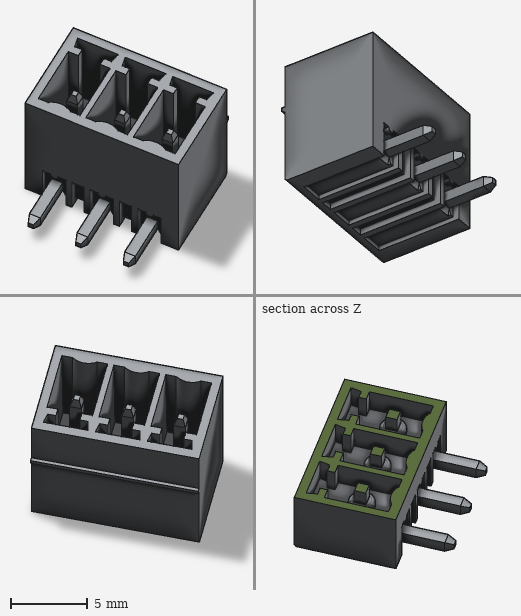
import cadquery as cq


housing_width = 11.3
housing_depth = 7.01
housing_height = 9.2
rear_chamfer = 0.17

rib_projection = 0.25
rib_top = 5.99
rib_tip_height = 0.27
rib_root_height = 0.43

pitch = 3.5
cell_centres = (-pitch, 0, pitch)
partition_centres = (-pitch / 2, pitch / 2)

cell_floor = 3.01
bay_width = 3.07
bay_front = 0.72
bay_rear = 5.08
bay_wall_draft = 0.07
neck_width = 1.6
neck_rear = 5.64
dovetail_front_width = 2.71
dovetail_rear_width = 2.98
dovetail_rear = 6.35
key_half_width = 0.84
key_height = 0.27
key_radius = (key_half_width**2 + key_height**2) / (2 * key_height)

collar_diameter = 1.8
collar_height = 0.5
collar_rounding = 0.26

pin_size = 0.8
pin_tip_size = 0.4
pin_tip_length = 0.58
pin_axis_y = 3.01
pin_axis_z = 1.18
pin_top = 8.02
pin_front = -3.39

recess_height = 2.65
pocket_width = 1.71
pocket_depth = 0.45
pocket_channel_height = 0.36
slot_width = 0.9
slot_depth = 0.51
slot_channel_height = 0.49
channel_end = dovetail_rear
bead_radius = 0.28
relief_bottom_width = 1.2
relief_depth = 0.24


def block(x_centre, width, y_start, y_end, z_start, z_end):
    """Box centred on x_centre, given by its limits in Y and Z."""
    return (
        cq.Workplane("XY", origin=(x_centre, (y_start + y_end) / 2, z_start))
        .rect(width, y_end - y_start)
        .extrude(z_end - z_start)
    )


def make_housing():
    """Side outline with the snap rib and rear chamfer, extruded across the width."""
    rib_rear = housing_depth + rib_projection
    outline = [
        (0, 0),
        (housing_depth - rear_chamfer, 0),
        (housing_depth, rear_chamfer),
        (housing_depth, rib_top - rib_root_height),
        (rib_rear, rib_top - rib_tip_height),
        (rib_rear, rib_top),
        (housing_depth, rib_top),
        (housing_depth, housing_height),
        (0, housing_height),
    ]
    return cq.Workplane("YZ").polyline(outline).close().extrude(housing_width / 2, both=True)


def make_cell(x):
    """Plug cell volume: bay with one drafted wall, neck and dovetail, less the front key."""
    half_bay = bay_width / 2
    bay_outline = [
        (-half_bay, cell_floor),
        (half_bay - bay_wall_draft, cell_floor),
        (half_bay, housing_height),
        (-half_bay, housing_height),
    ]
    bay = (
        cq.Workplane("XZ", origin=(x, bay_front, 0))
        .polyline(bay_outline)
        .close()
        .extrude(bay_front - bay_rear)
    )
    neck = block(x, neck_width, bay_rear, neck_rear, cell_floor, housing_height)
    dovetail_outline = [
        (-dovetail_front_width / 2, neck_rear),
        (dovetail_front_width / 2, neck_rear),
        (dovetail_rear_width / 2, dovetail_rear),
        (-dovetail_rear_width / 2, dovetail_rear),
    ]
    dovetail = (
        cq.Workplane("XY", origin=(x, 0, cell_floor))
        .polyline(dovetail_outline)
        .close()
        .extrude(housing_height - cell_floor)
    )
    key = (
        cq.Workplane("XY", origin=(x, bay_front + key_height - key_radius, cell_floor))
        .circle(key_radius)
        .extrude(housing_height - cell_floor)
    )
    return bay.cut(key).union(neck).union(dovetail)


def make_pocket(x):
    """Front pocket around a pin, with a bead at its top and a flared relief under the pin."""
    pocket = block(x, pocket_width, 0, pocket_depth, 0, recess_height)
    bead = cq.Workplane("XZ", origin=(x, 0, recess_height)).circle(bead_radius).extrude(-pocket_depth)
    channel = block(x, pocket_width, 0, channel_end, 0, pocket_channel_height)
    return pocket.cut(bead).union(channel).union(make_relief(x))


def make_relief(x):
    """Steep ramp in the pocket's back wall that widens from the pin to the channel."""
    relief_top = pin_axis_z - pin_size / 2
    face_outline = [
        (-pin_size / 2, relief_top),
        (pin_size / 2, relief_top),
        (relief_bottom_width / 2, pocket_channel_height),
        (-relief_bottom_width / 2, pocket_channel_height),
    ]
    flare = (
        cq.Workplane("XZ", origin=(x, pocket_depth, 0))
        .polyline(face_outline)
        .close()
        .extrude(-relief_depth)
    )
    ramp_outline = [
        (pocket_depth, relief_top),
        (pocket_depth, pocket_channel_height),
        (pocket_depth + relief_depth, pocket_channel_height),
    ]
    ramp = (
        cq.Workplane("YZ", origin=(x, 0, 0))
        .polyline(ramp_outline)
        .close()
        .extrude(relief_bottom_width / 2, both=True)
    )
    return flare.intersect(ramp)


def make_slot(x):
    """Front slot between two pockets, with a low channel running on under the housing."""
    slot = block(x, slot_width, 0, slot_depth, 0, recess_height)
    channel = block(x, slot_width, 0, channel_end, 0, slot_channel_height)
    return slot.union(channel)


def make_collar(x):
    """Round collar on the cell floor with a rounded top edge."""
    return (
        cq.Workplane("XY", origin=(x, pin_axis_y, cell_floor))
        .circle(collar_diameter / 2)
        .extrude(collar_height)
        .faces(">Z")
        .edges()
        .fillet(collar_rounding)
    )


def make_pin_leg(plane, origin, length):
    """Straight square leg along the plane's normal, ending in a tapered tip."""
    shank_length = length - pin_tip_length
    shank = cq.Workplane(plane, origin=origin).rect(pin_size, pin_size).extrude(shank_length)
    tip = (
        cq.Workplane(plane, origin=origin)
        .workplane(offset=shank_length)
        .rect(pin_size, pin_size)
        .workplane(offset=pin_tip_length)
        .rect(pin_tip_size, pin_tip_size)
        .loft(combine=True)
    )
    return shank.union(tip)


def make_pin(x):
    """Right-angle pin: an upright contact and a solder leg leaving through the front."""
    upright_base = pin_axis_z - pin_size / 2
    leg_base = pin_axis_y + pin_size / 2
    upright = make_pin_leg("XY", (x, pin_axis_y, upright_base), pin_top - upright_base)
    solder_leg = make_pin_leg("XZ", (x, leg_base, pin_axis_z), leg_base - pin_front)
    return upright.union(solder_leg)


result = make_housing()

for partition_x in partition_centres:
    result = result.cut(make_slot(partition_x))

for cell_x in cell_centres:
    result = result.cut(make_cell(cell_x)).cut(make_pocket(cell_x))
    result = result.union(make_collar(cell_x)).union(make_pin(cell_x))